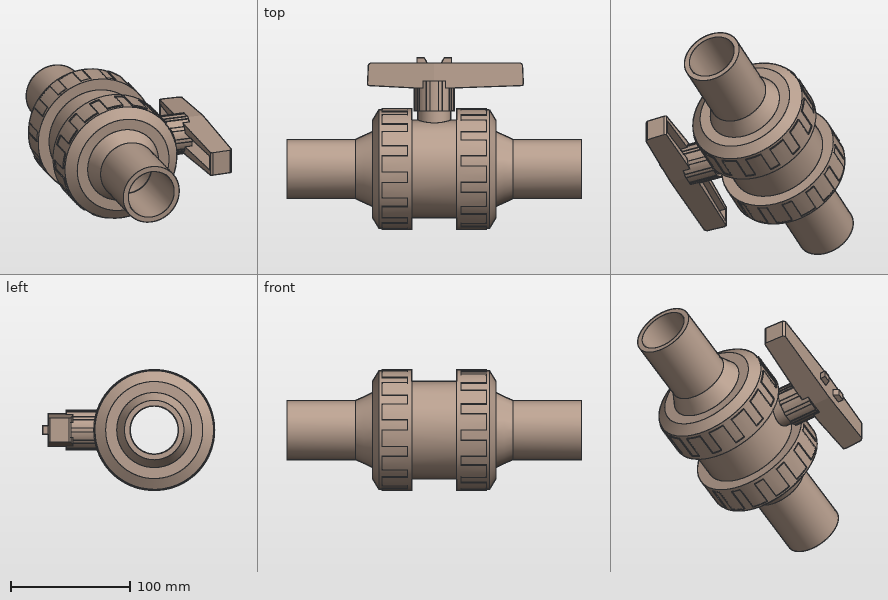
import cadquery as cq
import math


length = 247.0
overall_depth = 144.2
pipe_radius = 50.0 / 2
pipe_bore_radius = 40.8 / 2
ball_bore_radius = 40.0 / 2
pipe_shoulder_x = 66.0
pipe_collar_radius = 63.0 / 2

body_radius = 82.3 / 2

nut_inner_x = 18.8
nut_band_x = 22.5
nut_rib_end_x = 43.7
nut_chamfer_x = 46.5
nut_outer_x = 51.9
nut_radius = 101.5 / 2
nut_root_radius = 99.5 / 2
nut_face_radius = 40.8
nut_rib_count = 14
nut_notch_angle = 9.9
nut_first_notch_angle = 20.8

stem_radius = 28.0 / 2
hub_bottom_y = 48.7
hub_top_y = 73.9
hub_radius = 17.0
hub_root_radius = 16.3
spline_count = 10
spline_width = 3.2

handle_left_x = -56.0
handle_right_x = 74.8
tab_height = 4.5
tab_top_y = overall_depth - nut_radius
handle_top_y = tab_top_y - tab_height
handle_end_y = 70.0
handle_middle_y = 68.0
handle_draft = 0.7
handle_corner = 1.7
handle_toe_length = 0.7
handle_toe_height = 1.7
handle_middle_width = 27.7
handle_end_width = 20.3
pocket_width = 12.4
pocket_end_wall = 3.0
pocket_roof = 3.2

tab_outer_x = 14.5
tab_inner_x = 6.0
tab_slope = 2.5
tab_width = 7.5


def cylinder_along_x(radius, start, end):
    return cq.Workplane("YZ").workplane(offset=start).circle(radius).extrude(end - start)


def cylinder_along_y(radius, start, end):
    return cq.Workplane("XZ").workplane(offset=-start).circle(radius).extrude(start - end)


def make_pipes():
    """Solid core with both pipe stubs and their conical shoulders."""
    half = length / 2
    left_side = [
        (-half, 0),
        (-half, pipe_radius),
        (-pipe_shoulder_x, pipe_radius),
        (-nut_outer_x, pipe_collar_radius),
    ]
    right_side = [(-x, radius) for x, radius in reversed(left_side)]
    outline = cq.Workplane("XY").polyline(left_side + right_side).close()
    return outline.revolve(360, (0, 0, 0), (1, 0, 0))


def make_nut():
    """Left-hand nut, with notches cut into its rim so that ribs remain."""
    outline = [
        (-nut_inner_x, 0),
        (-nut_inner_x, nut_radius),
        (-nut_rib_end_x, nut_radius),
        (-nut_rib_end_x, nut_root_radius),
        (-nut_chamfer_x, nut_root_radius),
        (-nut_outer_x, nut_face_radius),
        (-nut_outer_x, 0),
    ]
    nut = cq.Workplane("XY").polyline(outline).close().revolve(360, (0, 0, 0), (1, 0, 0))

    reach = 2 * nut_radius
    half_notch = reach * math.tan(math.radians(nut_notch_angle / 2))
    wedge = (
        cq.Workplane("YZ").workplane(offset=-nut_rib_end_x)
        .polyline([(0, 0), (reach, -half_notch), (reach, half_notch)]).close()
        .extrude(nut_rib_end_x - nut_band_x)
    )
    notch = wedge.cut(cylinder_along_x(nut_root_radius, -nut_rib_end_x, -nut_band_x))
    for index in range(nut_rib_count):
        angle = nut_first_notch_angle + index * 360 / nut_rib_count
        nut = nut.cut(notch.rotate((0, 0, 0), (1, 0, 0), angle))
    return nut


def make_hub():
    """Stem with the splined hub that carries the handle."""
    stem = cylinder_along_y(stem_radius, 0, hub_bottom_y)
    hub = cylinder_along_y(hub_root_radius, hub_bottom_y, hub_top_y)
    height = hub_top_y - hub_bottom_y
    spline = (
        cq.Workplane("XY")
        .box(hub_radius, height, spline_width, centered=(False, False, True))
        .translate((0, hub_bottom_y, 0))
        .intersect(cylinder_along_y(hub_radius, hub_bottom_y, hub_top_y))
    )
    for index in range(spline_count):
        hub = hub.union(spline.rotate((0, 0, 0), (0, 1, 0), index * 360 / spline_count))
    return stem.union(hub)


def make_handle():
    """Side outline crossed with the plan outline, hollowed from below."""
    side_outline = [
        (handle_left_x + handle_toe_length, handle_end_y),
        (handle_left_x, handle_end_y + handle_toe_height),
        (handle_left_x + handle_draft, handle_top_y - handle_corner),
        (handle_left_x + handle_draft + handle_corner, handle_top_y),
        (handle_right_x - handle_draft - handle_corner, handle_top_y),
        (handle_right_x - handle_draft, handle_top_y - handle_corner),
        (handle_right_x, handle_end_y + handle_toe_height),
        (handle_right_x - handle_toe_length, handle_end_y),
        (hub_radius, handle_middle_y),
        (-hub_radius, handle_middle_y),
    ]
    side = (
        cq.Workplane("XY").workplane(offset=-handle_middle_width / 2)
        .polyline(side_outline).close().extrude(handle_middle_width)
    )
    plan_outline = [
        (handle_left_x, handle_end_width / 2),
        (0, handle_middle_width / 2),
        (handle_right_x, handle_end_width / 2),
        (handle_right_x, -handle_end_width / 2),
        (0, -handle_middle_width / 2),
        (handle_left_x, -handle_end_width / 2),
    ]
    plan = cq.Workplane("XZ").polyline(plan_outline).close().extrude(-handle_top_y)

    pocket_start = handle_left_x + pocket_end_wall
    pocket_length = handle_right_x - pocket_end_wall - pocket_start
    pocket = (
        cq.Workplane("XY")
        .box(pocket_length, handle_top_y - pocket_roof, pocket_width, centered=(False, False, True))
        .translate((pocket_start, 0, 0))
    )
    return side.intersect(plan).cut(pocket)


def make_tab():
    """Left-hand pointer tab, rooted in the roof of the handle."""
    outline = [
        (-tab_outer_x, handle_top_y - pocket_roof),
        (-tab_outer_x, tab_top_y),
        (-tab_inner_x - tab_slope, tab_top_y),
        (-tab_inner_x, handle_top_y),
        (-tab_inner_x, handle_top_y - pocket_roof),
    ]
    return (
        cq.Workplane("XY").workplane(offset=-tab_width / 2)
        .polyline(outline).close().extrude(tab_width)
    )


nut = make_nut()
tab = make_tab()

result = make_pipes()
result = result.union(cylinder_along_x(body_radius, -nut_inner_x, nut_inner_x))
result = result.union(nut).union(nut.rotate((0, 0, 0), (0, 0, 1), 180))
result = result.union(make_hub())
result = result.union(make_handle())
result = result.union(tab).union(tab.mirror("YZ"))

result = result.cut(cylinder_along_x(ball_bore_radius, -length / 2, length / 2))
for start, end in ((-length / 2, -pipe_shoulder_x), (pipe_shoulder_x, length / 2)):
    result = result.cut(cylinder_along_x(pipe_bore_radius, start, end))